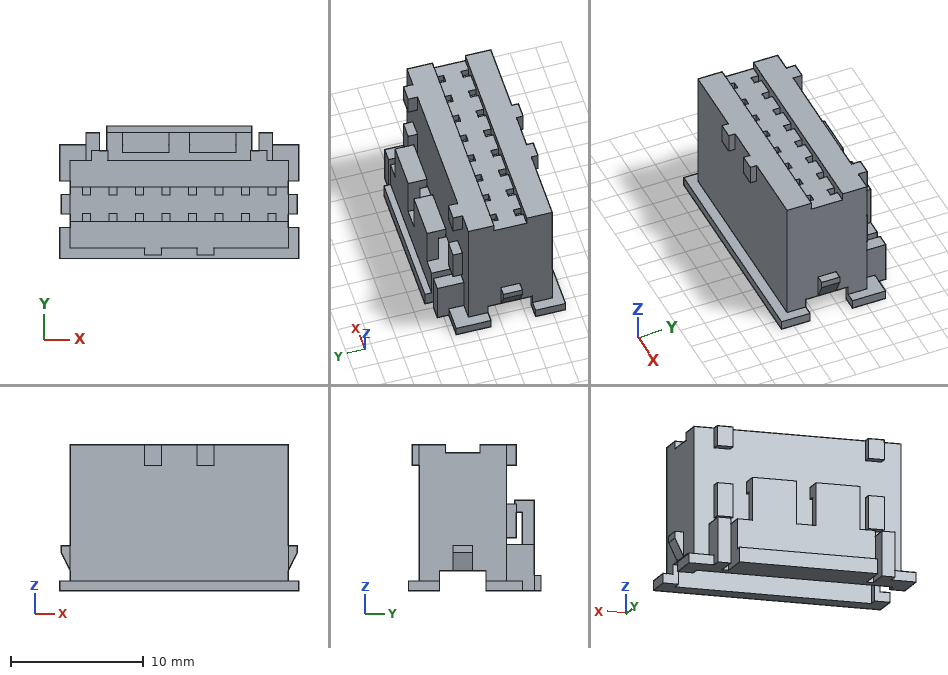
import cadquery as cq


total_length = 18.0
total_height = 11.0

body_length = 16.42
body_depth = 6.59
body_front = -body_depth / 2
body_back = body_depth / 2

top_channel_width = 2.57
top_channel_depth = 0.6
bottom_channel_width = 3.5
bottom_channel_height = 1.5

cavity_end_wall = 0.43
cavity_side_wall = 0.74

contact_count = 8
contact_pitch = 2.0
contact_pocket_size = 0.6
contact_pocket_depth = 0.6

flange_thickness = 0.75
front_flange_overhang = 0.81
rear_flange_overhang = 1.19

key_width = 1.26
key_height = 1.55
front_key_spacing = 3.96
front_key_depth = 0.52
rear_key_spacing = 11.99
rear_key_depth = 0.74
lower_key_bottom = 3.98
lower_key_height = 2.57

latch_length = 0.68
latch_width = 1.5
latch_lip_bottom = 2.88
latch_top = 3.4

rear_block_length = 10.95
rear_block_depth = 2.09
rear_block_height = 3.5
rear_block_back = body_back + rear_block_depth
lip_depth = 0.52
lip_height = 1.15
post_width = 1.03
post_gap = 0.52

arm_width = 3.5
arm_spacing = 5.04
arm_thickness = 0.92
hook_reach = 1.48
hook_thickness = 0.92
arm_top = 6.82


def block(x_range, y_range, z_range):
    """Rectangular block filling the given X, Y and Z ranges."""
    size = [high - low for low, high in (x_range, y_range, z_range)]
    corner = (x_range[0], y_range[0], z_range[0])
    return cq.Workplane("XY").box(*size, centered=False).translate(corner)


def centred(width, middle=0.0):
    """Range of the given width around a middle position."""
    return (middle - width / 2, middle + width / 2)


def mirrored_pair(shape):
    """The shape together with its mirror image across the YZ plane."""
    return shape.union(shape.mirror("YZ"))


def make_body():
    return block(centred(body_length), (body_front, body_back), (0, total_height))


def make_front_flange():
    y_range = (body_front - front_flange_overhang, -bottom_channel_width / 2)
    return block(centred(total_length), y_range, (0, flange_thickness))


def make_rear_flanges():
    inner_x = rear_block_length / 2 + post_gap + post_width
    y_range = (bottom_channel_width / 2, body_back + rear_flange_overhang)
    return mirrored_pair(block((inner_x, total_length / 2), y_range, (0, flange_thickness)))


def make_keys():
    upper_z = (total_height - key_height, total_height)
    lower_z = (lower_key_bottom, lower_key_bottom + lower_key_height)
    front_x = centred(key_width, front_key_spacing / 2)
    rear_x = centred(key_width, rear_key_spacing / 2)
    front_y = (body_front - front_key_depth, body_front)
    rear_y = (body_back, body_back + rear_key_depth)
    keys = block(front_x, front_y, upper_z)
    keys = keys.union(block(rear_x, rear_y, upper_z))
    keys = keys.union(block(rear_x, rear_y, lower_z))
    return mirrored_pair(keys)


def make_latches():
    wall_x = body_length / 2
    tip_x = wall_x + latch_length
    wedge = (
        cq.Workplane("XZ")
        .moveTo(wall_x, bottom_channel_height)
        .lineTo(tip_x, latch_lip_bottom)
        .lineTo(tip_x, latch_top)
        .lineTo(wall_x, latch_top)
        .close()
        .extrude(latch_width / 2, both=True)
    )
    return mirrored_pair(wedge)


def make_rear_block():
    main_y = (body_back, rear_block_back)
    lip_y = (rear_block_back, rear_block_back + lip_depth)
    main = block(centred(rear_block_length), main_y, (0, rear_block_height))
    lip = block(centred(rear_block_length), lip_y, (0, lip_height))
    return main.union(lip)


def make_posts():
    inner_x = rear_block_length / 2 + post_gap
    y_range = (body_back, rear_block_back)
    return mirrored_pair(block((inner_x, inner_x + post_width), y_range, (0, rear_block_height)))


def make_arms():
    x_range = centred(arm_width, arm_spacing / 2)
    upright_y = (rear_block_back - arm_thickness, rear_block_back)
    hook_y = (rear_block_back - hook_reach, rear_block_back)
    upright = block(x_range, upright_y, (rear_block_height, arm_top))
    hook = block(x_range, hook_y, (arm_top - hook_thickness, arm_top))
    return mirrored_pair(upright.union(hook))


def cut_channels(solid):
    channel_floor = total_height - top_channel_depth
    top_channel = block(centred(body_length), centred(top_channel_width), (channel_floor, total_height))
    bottom_channel = block(centred(total_length), centred(bottom_channel_width), (0, bottom_channel_height))
    return solid.cut(top_channel).cut(bottom_channel)


def cut_cavity(solid):
    x_range = centred(body_length - 2 * cavity_end_wall)
    y_range = centred(body_depth - 2 * cavity_side_wall)
    return solid.cut(block(x_range, y_range, (0, bottom_channel_height)))


def cut_contact_pockets(solid):
    pocket_top = total_height - top_channel_depth
    row_spacing = top_channel_width - contact_pocket_size
    pockets = (
        cq.Workplane("XY")
        .workplane(offset=pocket_top)
        .rarray(contact_pitch, row_spacing, contact_count, 2)
        .rect(contact_pocket_size, contact_pocket_size)
        .extrude(-contact_pocket_depth)
    )
    return solid.cut(pockets)


result = make_body()
for feature in (
    make_front_flange(),
    make_rear_flanges(),
    make_keys(),
    make_latches(),
    make_rear_block(),
    make_posts(),
    make_arms(),
):
    result = result.union(feature)
result = cut_channels(result)
result = cut_cavity(result)
result = cut_contact_pockets(result)